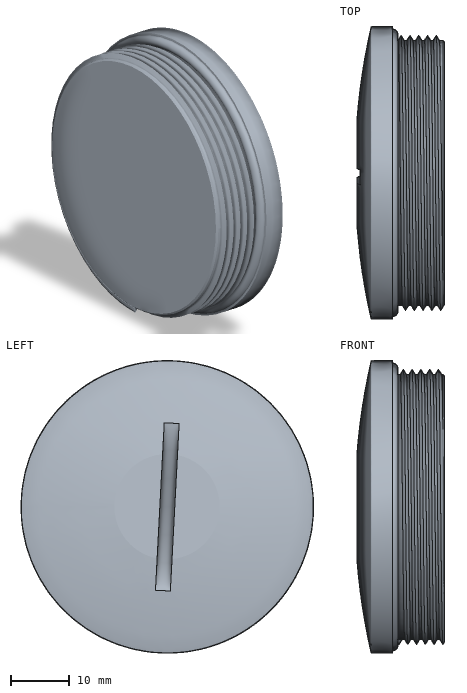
import cadquery as cq
import math

LENGTH = 15.0
HEAD_RADIUS = 24.95
HEAD_BACK_X = 6.05
DOME_RIM_X = 2.45
DOME_RADIUS = 109.85
FLAT_RADIUS = 9.0
RIM_FILLET = 0.2

CORE_RADIUS = 45.25 / 2
END_CHAMFER = 0.3
THREAD_CREST_RADIUS = 23.45
THREAD_PITCH = 1.5
THREAD_TURNS = 5
THREAD_BASE_WIDTH = 1.05
THREAD_START_X = 7.2
THREAD_OVERLAP = 0.15

SEAL_OUTER_RADIUS = 49.15 / 2
SEAL_SECTION_RADIUS = (SEAL_OUTER_RADIUS - CORE_RADIUS) / 2
SEAL_RING_RADIUS = CORE_RADIUS + SEAL_SECTION_RADIUS

SLOT_WIDTH = 2.55
SLOT_LENGTH = 28.65
SLOT_DEPTH = 2.6
SLOT_END_X = 0.55
SLOT_TILT = 3.0

ORIGIN = (0, 0, 0)
X_AXIS_END = (1, 0, 0)


def dome_midpoint():
    """Point on the dome arc halfway between the flat disc and the rim."""
    chord_x = DOME_RIM_X
    chord_r = HEAD_RADIUS - FLAT_RADIUS
    chord = math.hypot(chord_x, chord_r)
    sagitta = DOME_RADIUS - math.sqrt(DOME_RADIUS**2 - (chord / 2) ** 2)
    x = chord_x / 2 - sagitta * chord_r / chord
    radius = (FLAT_RADIUS + HEAD_RADIUS) / 2 + sagitta * chord_x / chord
    return x, radius


def make_plug_blank():
    """Head, seal groove and core, revolved about X from an (X, radius) outline."""
    blank = (
        cq.Workplane("XY")
        .moveTo(0, 0)
        .lineTo(0, FLAT_RADIUS)
        .threePointArc(dome_midpoint(), (DOME_RIM_X, HEAD_RADIUS))
        .lineTo(HEAD_BACK_X, HEAD_RADIUS)
        .lineTo(HEAD_BACK_X, SEAL_OUTER_RADIUS)
        .threePointArc(
            (HEAD_BACK_X - SEAL_SECTION_RADIUS, SEAL_RING_RADIUS),
            (HEAD_BACK_X, CORE_RADIUS),
        )
        .lineTo(LENGTH - END_CHAMFER, CORE_RADIUS)
        .lineTo(LENGTH, CORE_RADIUS - END_CHAMFER)
        .lineTo(LENGTH, 0)
        .close()
        .revolve(360, ORIGIN, X_AXIS_END)
    )
    box_radius = HEAD_RADIUS + RIM_FILLET
    rim = cq.selectors.BoxSelector(
        (DOME_RIM_X - RIM_FILLET, -box_radius, -box_radius),
        (DOME_RIM_X + RIM_FILLET, box_radius, box_radius),
        boundingbox=True,
    )
    return blank.edges(rim).fillet(RIM_FILLET)


def make_thread():
    """Right-handed triangular ridge, cut off flush with the end of the plug."""
    foot_radius = CORE_RADIUS - THREAD_OVERLAP
    flank_slope = THREAD_BASE_WIDTH / 2 / (THREAD_CREST_RADIUS - CORE_RADIUS)
    foot_half_width = flank_slope * (THREAD_CREST_RADIUS - foot_radius)
    helix = cq.Wire.makeHelix(THREAD_PITCH, THREAD_PITCH * THREAD_TURNS, foot_radius)
    ridge = (
        cq.Workplane("XZ")
        .moveTo(foot_radius, -foot_half_width)
        .lineTo(THREAD_CREST_RADIUS, 0)
        .lineTo(foot_radius, foot_half_width)
        .close()
        .sweep(helix, isFrenet=True)
        .rotate(ORIGIN, (0, 1, 0), 90)
        .translate((THREAD_START_X, 0, 0))
    )
    plug_envelope = cq.Workplane("YZ").circle(HEAD_RADIUS).extrude(LENGTH)
    return ridge.intersect(plug_envelope)


def make_slot():
    """Tilted coin slot whose floor is an arc, deepest on the axis."""
    half_length = SLOT_LENGTH / 2
    return (
        cq.Workplane("XZ")
        .moveTo(SLOT_END_X, -half_length)
        .threePointArc((SLOT_DEPTH, 0), (SLOT_END_X, half_length))
        .lineTo(-SLOT_END_X, half_length)
        .lineTo(-SLOT_END_X, -half_length)
        .close()
        .extrude(SLOT_WIDTH / 2, both=True)
        .rotate(ORIGIN, X_AXIS_END, SLOT_TILT)
    )


def make_plug():
    return make_plug_blank().cut(make_slot()).union(make_thread())


def make_seal():
    return (
        cq.Workplane("XY")
        .center(HEAD_BACK_X, SEAL_RING_RADIUS)
        .circle(SEAL_SECTION_RADIUS)
        .revolve(360, (0, -SEAL_RING_RADIUS, 0), (1, -SEAL_RING_RADIUS, 0))
    )


plug = make_plug()
seal = make_seal()

result = cq.Compound.makeCompound([plug.val(), seal.val()])